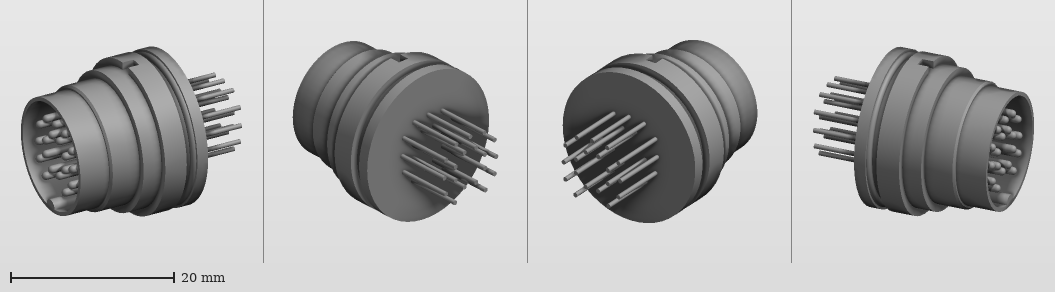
import cadquery as cq
import math

flange_radius = 10.0
body_radius = 9.0
barrel_radius = 8.0
nose_radius = 7.5
socket_radius = 7.0

mating_face = 0.0
nose_end = 4.0
barrel_end = 8.0
collar_start = 10.5
collar_end = 13.5
flange_start = 15.0
flange_end = 16.5
pin_tail_end = 24.3

barrel_chamfer = 0.25

seal_section_radius = 0.5
seal_centre_radius = 9.2

socket_depth = 8.0

notch_width = 1.5
notch_depth = 1.5

key_radius = 1.0

contact_radius = 0.5
contact_tip = 0.2
tail_radius = 0.3

inner_near = 0.95
inner_far = 2.4
outer_reach = 4.25
contact_half_pattern = [
    (inner_near, inner_far),
    (inner_far, inner_near),
    (inner_far, -inner_near),
    (inner_near, -inner_far),
    (0.0, outer_reach),
    (2.3, 4.0),
    (4.0, 2.4),
    (outer_reach, 0.0),
    (4.0, -2.3),
    (2.5, -4.0),
]


def cylinder(x, z, radius, y_start, y_end):
    """Solid cylinder parallel to Y between two stations."""
    start = cq.Vector(x, y_start, z)
    return cq.Workplane(cq.Solid.makeCylinder(radius, y_end - y_start, start, cq.Vector(0, 1, 0)))


def make_shell():
    """Stepped body of revolution, including the sealing bead and the socket."""
    seal_diagonal = seal_section_radius * math.sqrt(0.5)
    profile = (
        cq.Workplane("XY")
        .moveTo(0, socket_depth)
        .lineTo(socket_radius, socket_depth)
        .lineTo(socket_radius, mating_face)
        .lineTo(nose_radius, mating_face)
        .lineTo(nose_radius, nose_end)
        .lineTo(barrel_radius - barrel_chamfer, nose_end)
        .lineTo(barrel_radius, nose_end + barrel_chamfer)
        .lineTo(barrel_radius, barrel_end)
        .lineTo(body_radius, barrel_end)
        .lineTo(body_radius, collar_start)
        .lineTo(flange_radius, collar_start)
        .lineTo(flange_radius, collar_end)
        .lineTo(body_radius, collar_end)
        .lineTo(body_radius, flange_start - seal_section_radius)
        .lineTo(seal_centre_radius, flange_start - seal_section_radius)
        .threePointArc(
            (seal_centre_radius + seal_diagonal, flange_start - seal_diagonal),
            (seal_centre_radius + seal_section_radius, flange_start),
        )
        .lineTo(flange_radius, flange_start)
        .lineTo(flange_radius, flange_end)
        .lineTo(0, flange_end)
        .close()
    )
    return profile.revolve(360, (0, 0, 0), (0, 1, 0))


def make_notches():
    """Cutter for both collar notches, whose floors are flush with the round body."""
    notch_end = collar_start + notch_depth
    bar = cq.Workplane("XY").box(notch_width, notch_depth, 2 * flange_radius)
    bar = bar.translate((0, collar_start + notch_depth / 2, 0))
    return bar.cut(cylinder(0, 0, body_radius, collar_start, notch_end))


def make_key():
    """Round key on the socket wall, trimmed so it stays inside the shell."""
    key = cylinder(0, -socket_radius, key_radius, mating_face, socket_depth)
    bore = cylinder(0, 0, (socket_radius + nose_radius) / 2, mating_face, socket_depth)
    return key.intersect(bore)


def make_contact(x, z):
    """Round-tipped contact in the socket with a thin solder tail behind the flange."""
    dome_centre = contact_tip + contact_radius
    contact = cylinder(x, z, contact_radius, dome_centre, flange_end)
    dome = cq.Workplane("XY").sphere(contact_radius).translate((x, dome_centre, z))
    tail = cylinder(x, z, tail_radius, dome_centre, pin_tail_end)
    return contact.union(dome).union(tail)


result = make_shell().cut(make_notches()).union(make_key())
for x, z in contact_half_pattern:
    result = result.union(make_contact(x, z))
    if x > 0:
        result = result.union(make_contact(-x, z))